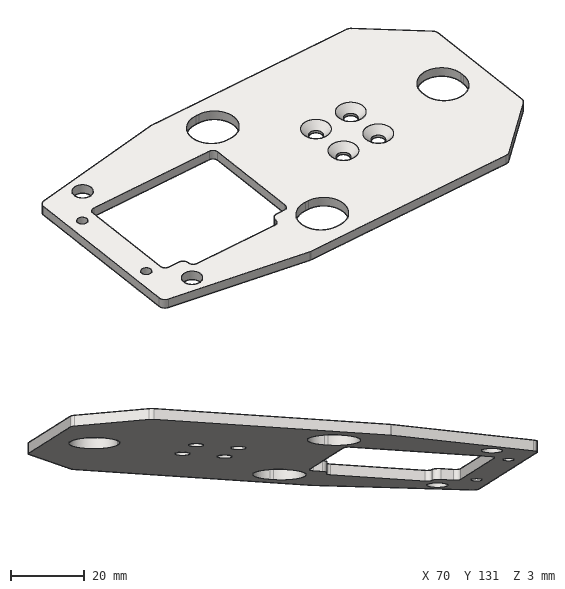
import cadquery as cq

WIDTH = 70.0
LENGTH = 131
THICKNESS = 3.0
TOP_EDGE_WIDTH = 38.5
BOTTOM_EDGE_WIDTH = 54.0
UPPER_SHOULDER_Y = 113.2
LOWER_SHOULDER_Y = 44.8
CORNER_RADIUS = 2.0

OPENING_LENGTH = 14.5
OPENING_WIDTH = 13.5
TOP_OPENING_Y = 118.2
SIDE_OPENING_Y = 57.5

SIDE_HOLE_SPACING = 48.0
SIDE_HOLE_DIAMETER = 5.8
SIDE_HOLE_Y = 12.5
EDGE_HOLE_SPACING = 28.0
EDGE_HOLE_DIAMETER = 3.0
EDGE_HOLE_Y = 4.5

SCREW_SPACING = 12.0
SCREW_PATTERN_Y = 85.0
SCREW_HOLE_DIAMETER = 4.0
COUNTERSINK_DIAMETER = 8.4
COUNTERSINK_ANGLE = 90

WINDOW_WIDTH = 32.8
WINDOW_BOTTOM_Y = 8.8
WINDOW_TOP_Y = 51.9
RECESS_DEPTH = 3.5
RECESS_BOTTOM_Y = 15.7
RECESS_TOP_Y = 45.8
WINDOW_CORNER_RADIUS = 1.6
RECESS_SHOULDER_RADIUS = 1.8


def make_plate():
    right_side = [
        (BOTTOM_EDGE_WIDTH / 2, 0),
        (WIDTH / 2, LOWER_SHOULDER_Y),
        (WIDTH / 2, UPPER_SHOULDER_Y),
        (TOP_EDGE_WIDTH / 2, LENGTH),
    ]
    left_side = [(-x, y) for x, y in reversed(right_side)]
    plate = cq.Workplane("XY").polyline(right_side + left_side).close().extrude(THICKNESS)
    return plate.edges("|Z").fillet(CORNER_RADIUS)


def make_opening(x, y, angle):
    """Elongated through opening whose long axis is turned by angle from X."""
    return (
        cq.Workplane("XY")
        .center(x, y)
        .slot2D(OPENING_LENGTH, OPENING_WIDTH, angle)
        .extrude(THICKNESS)
    )


def make_window():
    left = -WINDOW_WIDTH / 2
    right = WINDOW_WIDTH / 2
    recess_right = right + RECESS_DEPTH
    shoulders = [(right, RECESS_BOTTOM_Y), (right, RECESS_TOP_Y)]
    outline = [
        (left, WINDOW_BOTTOM_Y),
        (right, WINDOW_BOTTOM_Y),
        shoulders[0],
        (recess_right, RECESS_BOTTOM_Y),
        (recess_right, RECESS_TOP_Y),
        shoulders[1],
        (right, WINDOW_TOP_Y),
        (left, WINDOW_TOP_Y),
    ]
    window = cq.Workplane("XY").polyline(outline).close().extrude(THICKNESS)
    for x, y in outline:
        radius = RECESS_SHOULDER_RADIUS if (x, y) in shoulders else WINDOW_CORNER_RADIUS
        corner = cq.selectors.NearestToPointSelector((x, y, THICKNESS / 2))
        window = window.edges("|Z").edges(corner).fillet(radius)
    return window


def drill_pair(plate, spacing, y, diameter):
    """Drill two through holes placed symmetrically about X = 0."""
    centers = [(-spacing / 2, y), (spacing / 2, y)]
    holes = cq.Workplane("XY").pushPoints(centers).circle(diameter / 2).extrude(THICKNESS)
    return plate.cut(holes)


def drill_screw_holes(plate):
    return (
        plate.faces(">Z")
        .workplane(origin=(0, SCREW_PATTERN_Y, THICKNESS))
        .rarray(SCREW_SPACING, SCREW_SPACING, 2, 2)
        .cskHole(SCREW_HOLE_DIAMETER, COUNTERSINK_DIAMETER, COUNTERSINK_ANGLE)
    )


result = make_plate()
result = result.cut(make_opening(0, TOP_OPENING_Y, 0))
for side in (-1, 1):
    result = result.cut(make_opening(side * SIDE_HOLE_SPACING / 2, SIDE_OPENING_Y, 90))
result = result.cut(make_window())
result = drill_pair(result, SIDE_HOLE_SPACING, SIDE_HOLE_Y, SIDE_HOLE_DIAMETER)
result = drill_pair(result, EDGE_HOLE_SPACING, EDGE_HOLE_Y, EDGE_HOLE_DIAMETER)
result = drill_screw_holes(result)